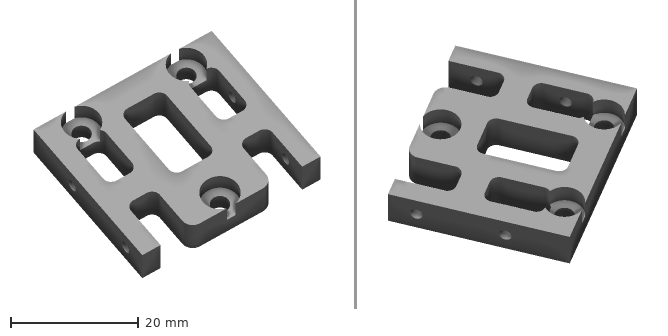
import cadquery as cq

LENGTH = 30.0
WIDTH = 34.0
THICKNESS = 6.0
LEFT_EDGE = -LENGTH / 2
RIGHT_EDGE = LENGTH / 2

ARM_WIDTH = 3.5
OPENING_WIDTH = 5.5
OPENING_CENTER_Y = WIDTH / 2 - ARM_WIDTH - OPENING_WIDTH / 2
SLOT_LENGTH = 10.0
SLOT_START_X = LEFT_EDGE + 5.65
SLOT_CENTER_X = SLOT_START_X + SLOT_LENGTH / 2
NOTCH_DEPTH = 9.65
OPENING_RADIUS = 1.5
TONGUE_RADIUS = 2.0

WINDOW_LENGTH = 15.0
WINDOW_WIDTH = 8.0
WINDOW_START_X = LEFT_EDGE + 5.0
WINDOW_CENTER_X = WINDOW_START_X + WINDOW_LENGTH / 2

SCREW_DIAMETER = 3.2
COUNTERBORE_DIAMETER = 6.5
COUNTERBORE_DEPTH = THICKNESS / 2
SCREW_EDGE_DISTANCE = 3.15
SCREW_SPACING_Y = 20.0

CROSS_HOLE_DIAMETER = 2.05
CROSS_HOLE_XS = (SLOT_CENTER_X, RIGHT_EDGE - NOTCH_DEPTH + SLOT_LENGTH / 2)


def rounded_window(length, width, center_x, center_y):
    """Through cutter with rounded vertical corners."""
    return (
        cq.Workplane("XY")
        .box(length, width, THICKNESS, centered=(True, True, False))
        .edges("|Z")
        .fillet(OPENING_RADIUS)
        .translate((center_x, center_y, 0))
    )


def open_notch(center_y):
    """Through cutter open at the right edge, with rounded inner corners."""
    return (
        cq.Workplane("XY")
        .box(NOTCH_DEPTH, OPENING_WIDTH, THICKNESS, centered=(True, True, False))
        .edges("|Z and <X")
        .fillet(OPENING_RADIUS)
        .translate((RIGHT_EDGE - NOTCH_DEPTH / 2, center_y, 0))
    )


def plate_with_openings():
    """Plate with two closed slots, two open notches and the central window."""
    plate = cq.Workplane("XY").box(LENGTH, WIDTH, THICKNESS, centered=(True, True, False))
    for side in (-1, 1):
        center_y = side * OPENING_CENTER_Y
        plate = plate.cut(open_notch(center_y))
        plate = plate.cut(rounded_window(SLOT_LENGTH, OPENING_WIDTH, SLOT_CENTER_X, center_y))
    return plate.cut(rounded_window(WINDOW_LENGTH, WINDOW_WIDTH, WINDOW_CENTER_X, 0))


def round_tongue(plate):
    """Round the two outer corners of the tongue between the notches."""
    tongue_half_width = OPENING_CENTER_Y - OPENING_WIDTH / 2
    for side in (-1, 1):
        corner = (RIGHT_EDGE, side * tongue_half_width, THICKNESS / 2)
        corner_edge = cq.selectors.NearestToPointSelector(corner)
        plate = plate.edges("|Z").edges(corner_edge).fillet(TONGUE_RADIUS)
    return plate


def cut_screw_holes(plate):
    """Two counterbored holes at the left edge and one at the tongue end."""
    left_x = LEFT_EDGE + SCREW_EDGE_DISTANCE
    right_x = RIGHT_EDGE - SCREW_EDGE_DISTANCE
    positions = [
        (left_x, -SCREW_SPACING_Y / 2),
        (left_x, SCREW_SPACING_Y / 2),
        (right_x, 0),
    ]
    return (
        plate.faces(">Z")
        .workplane(origin=(0, 0, THICKNESS))
        .pushPoints(positions)
        .cboreHole(SCREW_DIAMETER, COUNTERBORE_DIAMETER, COUNTERBORE_DEPTH)
    )


def cut_cross_holes(plate):
    """Round holes along Y through each arm, at mid thickness."""
    for arm_start_y in (-WIDTH / 2, WIDTH / 2 - ARM_WIDTH):
        for x in CROSS_HOLE_XS:
            start = cq.Vector(x, arm_start_y, THICKNESS / 2)
            hole = cq.Solid.makeCylinder(CROSS_HOLE_DIAMETER / 2, ARM_WIDTH, start, cq.Vector(0, 1, 0))
            plate = plate.cut(cq.Workplane(obj=hole))
    return plate


result = cut_cross_holes(cut_screw_holes(round_tongue(plate_with_openings())))